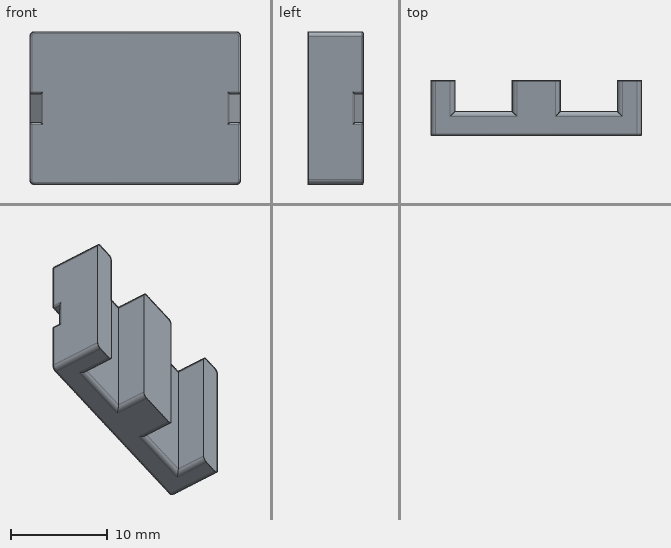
import cadquery as cq

length = 21.8
depth = 5.7
height = 15.8
corner_radius = 0.5
front_radius = 0.2

arm_width = 2.5
post_width = 5.0
plate_thickness = 2.5
channel_width = (length - post_width) / 2 - arm_width
channel_depth = depth - plate_thickness
channel_center = (post_width + channel_width) / 2

notch_width = 1.26
notch_depth = 0.98
notch_height = 2.96

half_length = length / 2
half_depth = depth / 2
tolerance = 0.002


def channel(center_x):
    """Full-height rectangular channel, open at the back."""
    center_y = half_depth - channel_depth / 2
    return cq.Workplane("XY").box(channel_width, channel_depth, height).translate((center_x, center_y, 0))


def notch(side):
    """Triangular prism cutting a front side edge; side is -1 or 1."""
    edge_x = side * half_length
    return (
        cq.Workplane("XY")
        .polyline([
            (edge_x, -half_depth),
            (edge_x - side * notch_width, -half_depth),
            (edge_x, -half_depth + notch_depth),
        ])
        .close()
        .extrude(notch_height / 2, both=True)
    )


def edges_on_side(body, side):
    """Edges of the notch opening lying in one end face."""
    half_opening = notch_height / 2 + tolerance
    edge_x = side * half_length
    box_min = (edge_x - tolerance, -half_depth, -half_opening)
    box_max = (edge_x + tolerance, -half_depth + notch_depth + tolerance, half_opening)
    return body.edges(cq.selectors.BoxSelector(box_min, box_max, boundingbox=True))


body = cq.Workplane("XY").box(length, depth, height).edges("|Y").fillet(corner_radius)
for side in (-1, 1):
    body = body.cut(notch(side))

front_edges = body.faces("<Y").edges()
rim_edges = front_edges.add(edges_on_side(body, -1)).add(edges_on_side(body, 1))
body = rim_edges.fillet(front_radius)

for side in (-1, 1):
    body = body.cut(channel(side * channel_center))

for center_x in (-channel_center, channel_center):
    for rim_z in (-height / 2, height / 2):
        reach_x = channel_width / 2 + tolerance
        rim_box = cq.selectors.BoxSelector(
            (center_x - reach_x, half_depth - channel_depth - tolerance, rim_z - tolerance),
            (center_x + reach_x, half_depth + tolerance, rim_z + tolerance),
            boundingbox=True,
        )
        body = body.edges(rim_box).fillet(corner_radius)

result = body